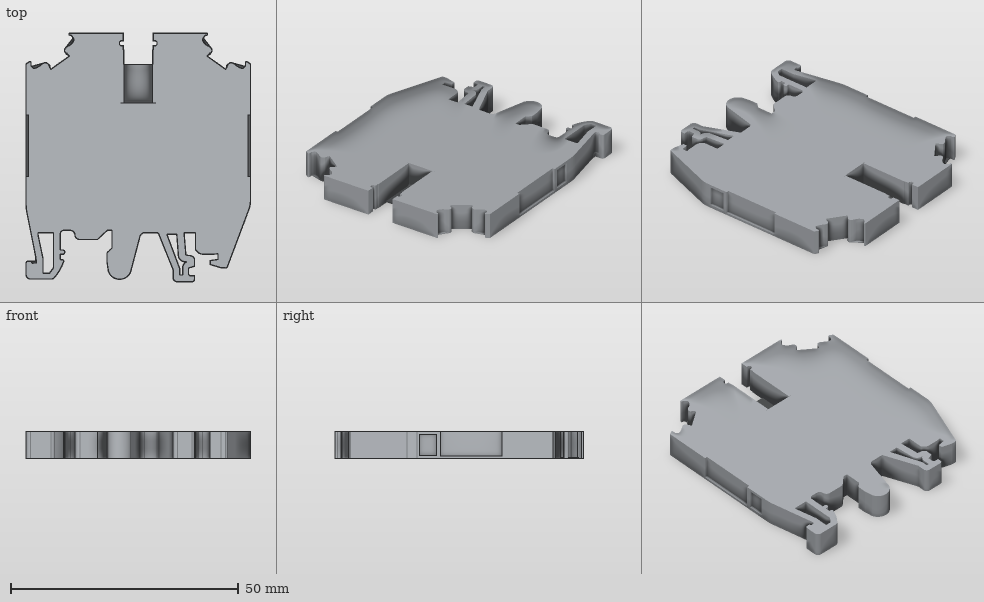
import cadquery as cq


WIDTH = 49.4
HEIGHT = 54.69
THICKNESS = 6.0
HALF_WIDTH = WIDTH / 2
SPLIT_Y = 18.0

MOUTH_HALF_WIDTH = 3.27
SLOT_HALF_WIDTH = 3.15
MOUTH_BOTTOM_Y = 51.0
SLOT_BOTTOM_Y = 39.34
FLOOR_TOP_Y = 47.85
FLOOR_THICKNESS = 0.4
FLOOR_FILLET = 0.45
NOTCH_DEPTH = 0.8
NOTCH_TOP_Y = 53.0
NOTCH_BOTTOM_Y = 51.95
NOTCH_CORNER = 0.25
SLIT_HALF_WIDTH = 3.8
SLIT_HEIGHT = 0.06

MARKER_WEB_THICKNESS = 0.25

RECESS_DEPTH = 0.6
SIDE_RECESS_BOTTOM_Y = 23.2
SIDE_RECESS_TOP_Y = 36.7
SIDE_RECESS_BOTTOM_Z = 0.55
WINDOW_BOTTOM_Y = 18.6
WINDOW_TOP_Y = 22.3
WINDOW_BOTTOM_Z = 0.75
WINDOW_TOP_Z = 5.35

LEFT_BEND_TOP_Y = 17.05
RIGHT_BEND_TOP_Y = 18.0
FOOT_BOTTOM_Y = 0.58
FOOT_TOP_Y = 4.55
FOOT_NECK_X = -22.4
RAIL_SEAT_Y = 10.79
FOOT_WEB_THICKNESS = 1.0
FOOT_WEB_TOP_Y = 5.2


def arc(middle, end):
    """Outline step: an arc through middle to end."""
    return ("arc", middle, end)


def bend(end):
    """Outline step: an arc to end that leaves along the previous step."""
    return ("bend", end)


def prism(start, steps, thickness=THICKNESS):
    """Closed outline of straight (x, y) steps, arcs and bends, extruded up from Z = 0."""
    outline = cq.Workplane("XY").moveTo(*start)
    for step in steps:
        if step[0] == "arc":
            outline = outline.threePointArc(step[1], step[2])
        elif step[0] == "bend":
            outline = outline.tangentArcPoint(step[1], relative=False)
        else:
            outline = outline.lineTo(*step)
    return outline.close().extrude(thickness)


def box(x_range, y_range, z_range):
    """Axis-aligned box between the given limits."""
    size = [limits[1] - limits[0] for limits in (x_range, y_range, z_range)]
    corner = (x_range[0], y_range[0], z_range[0])
    return cq.Workplane("XY").box(*size, centered=False).translate(corner)


def both_sides(shape):
    """The shape together with its mirror image across X = 0."""
    return shape.union(shape.mirror("YZ"))


def head_half():
    """Left half of the head, without the slot."""
    return prism(
        (0, SPLIT_Y),
        [
            (-HALF_WIDTH, SPLIT_Y),
            (-HALF_WIDTH, 47.95),
            (-24.0, 48.4),
            arc((-23.67, 48.42), (-23.56, 48.15)),
            (-23.56, 47.5),
            (-23.05, 46.98),
            (-22.75, 46.95),
            arc((-21.9, 47.35), (-21.1, 47.95)),
            (-20.6, 48.21),
            (-20.15, 48.21),
            (-19.72, 47.8),
            (-19.5, 47.25),
            (-19.2, 46.78),
            (-15.2, 49.65),
            (-15.7, 50.3),
            (-16.0, 50.4),
            arc((-16.24, 50.88), (-16.1, 51.35)),
            (-15.62, 51.75),
            (-15.0, 52.05),
            arc((-14.45, 52.6), (-14.12, 53.35)),
            (-14.55, 53.95),
            (-14.8, 54.2),
            (-15.15, 54.25),
            arc((-15.25, 54.5), (-15.05, HEIGHT)),
            (0, HEIGHT),
        ],
    )


def marker_webs():
    """Thin webs bridging the left marker pockets at the underside."""
    outer_web = [(-23.45, 47.4), (-20.6, 48.21), (-22.3, 47.0), (-23.05, 46.95)]
    inner_web = [(-14.35, 53.6), (-16.1, 51.35), (-15.0, 52.0), (-14.1, 53.3)]
    shoulder_web = [(-19.85, 47.95), (-19.42, 47.6), (-19.42, 47.3), (-19.7, 47.2)]
    nose_web = [(-16.05, 50.4), (-15.8, 50.05), (-15.25, 49.75), (-15.5, 50.4)]
    webs = cq.Workplane("XY")
    for corners in (outer_web, inner_web, shoulder_web, nose_web):
        webs = webs.union(prism(corners[0], corners[1:], MARKER_WEB_THICKNESS))
    return webs


def slot_cutter():
    """Central slot with a wider notched mouth and a thin slit across its closed end."""
    mouth = box(
        (-MOUTH_HALF_WIDTH, MOUTH_HALF_WIDTH), (MOUTH_BOTTOM_Y, HEIGHT), (0, THICKNESS)
    )
    notch_half_width = MOUTH_HALF_WIDTH + NOTCH_DEPTH
    notches = box(
        (-notch_half_width, notch_half_width), (NOTCH_BOTTOM_Y, NOTCH_TOP_Y), (0, THICKNESS)
    )
    notches = notches.edges("|Z").chamfer(NOTCH_CORNER)
    opening = box(
        (-SLOT_HALF_WIDTH, SLOT_HALF_WIDTH), (FLOOR_TOP_Y, MOUTH_BOTTOM_Y), (0, THICKNESS)
    )
    pocket = box(
        (-SLOT_HALF_WIDTH, SLOT_HALF_WIDTH),
        (SLOT_BOTTOM_Y, FLOOR_TOP_Y),
        (FLOOR_THICKNESS, THICKNESS),
    )
    pocket = pocket.edges("<Y and <Z").fillet(FLOOR_FILLET)
    slit = box(
        (-SLIT_HALF_WIDTH, SLIT_HALF_WIDTH),
        (SLOT_BOTTOM_Y - SLIT_HEIGHT / 2, SLOT_BOTTOM_Y + SLIT_HEIGHT / 2),
        (FLOOR_THICKNESS + FLOOR_FILLET, THICKNESS),
    )
    return mouth.union(notches).union(opening).union(pocket).union(slit)


def side_recesses():
    """Cutters for the label recess and the small window on the left side."""
    depth_range = (-HALF_WIDTH, -HALF_WIDTH + RECESS_DEPTH)
    label = box(
        depth_range,
        (SIDE_RECESS_BOTTOM_Y, SIDE_RECESS_TOP_Y),
        (SIDE_RECESS_BOTTOM_Z, THICKNESS),
    )
    window = box(
        depth_range, (WINDOW_BOTTOM_Y, WINDOW_TOP_Y), (WINDOW_BOTTOM_Z, WINDOW_TOP_Z)
    )
    return label.union(window)


def foot():
    """Lower body with the rail clips, the central tongue and the right-hand hook."""
    return prism(
        (-HALF_WIDTH, SPLIT_Y),
        [
            (-HALF_WIDTH, LEFT_BEND_TOP_Y),
            bend((-24.5, 15.13)),
            (FOOT_NECK_X, 4.65),
            (FOOT_NECK_X, 4.2),
            (-22.95, 4.2),
            arc((-23.25, 4.1), (-23.38, FOOT_TOP_Y)),
            (-24.2, FOOT_TOP_Y),
            arc((-24.55, 4.42), (-HALF_WIDTH, 4.07)),
            (-HALF_WIDTH, 1.6),
            arc((-24.4, 0.88), (-23.72, FOOT_BOTTOM_Y)),
            (-19.21, FOOT_BOTTOM_Y),
            arc((-18.8, 0.67), (-18.45, 0.92)),
            arc((-17.2, 2.65), (-16.35, 4.6)),
            (-16.5, 4.85),
            (-17.13, 4.93),
            (-17.13, 6.06),
            (-16.45, 6.06),
            arc((-16.15, 6.55), (-16.45, 7.01)),
            (-17.13, 7.01),
            (-17.13, 10.6),
            arc((-16.9, 11.08), (-16.28, 11.3)),
            (-14.9, 11.3),
            arc((-14.3, 11.05), (-13.95, 10.2)),
            arc((-13.5, 9.5), (-12.77, 9.27)),
            (-9.0, 9.27),
            (-6.83, 11.3),
            (-5.78, 11.3),
            (-5.78, 7.44),
            (-6.89, 6.4),
            (-6.89, 4.35),
            (-6.6, 2.35),
            arc((-4.15, 0.54), (-1.65, 2.2)),
            (0.4, 10.0),
            bend((1.42, RAIL_SEAT_Y)),
            (4.07, RAIL_SEAT_Y),
            arc((4.35, 10.7), (4.52, 10.42)),
            (7.65, 2.66),
            (7.65, 0.96),
            arc((7.93, 0.28), (8.61, 0)),
            (11.83, 0),
            arc((12.23, 0.16), (12.39, 0.56)),
            (12.39, 1.35),
            (11.39, 1.35),
            (11.06, 1.6),
            (11.06, 3.0),
            (12.39, 3.42),
            (12.39, 5.0),
            arc((12.05, 5.5), (11.1, 5.8)),
            (10.5, 5.97),
            (10.1, RAIL_SEAT_Y),
            (12.57, RAIL_SEAT_Y),
            (12.57, 7.03),
            (13.24, 6.41),
            bend((14.12, 6.07)),
            (16.65, 6.07),
            (17.49, 6.15),
            (17.49, 4.96),
            (15.79, 4.69),
            (15.79, 3.79),
            (18.25, 3.08),
            (19.2, 3.04),
            arc((19.48, 3.15), (19.66, 3.4)),
            (24.35, 15.9),
            bend((HALF_WIDTH, RIGHT_BEND_TOP_Y)),
        ],
    )


def leg_openings():
    """Cutters for the through openings inside the left leg and the spring clip."""
    left_opening = prism(
        (-21.95, RAIL_SEAT_Y),
        [
            (-18.65, RAIL_SEAT_Y),
            (-18.65, 3.1),
            (-19.55, 1.9),
            (-20.92, 1.9),
            (-20.92, 5.1),
            (-22.05, 10.5),
        ],
    )
    clip_opening = prism(
        (6.33, 10.42),
        [
            (8.45, 10.42),
            (8.78, 6.1),
            arc((9.25, 4.85), (10.6, 4.4)),
            arc((9.95, 3.8), (9.76, 2.7)),
            (9.76, 1.52),
            (9.17, 1.52),
            (9.17, 2.85),
        ],
    )
    return left_opening.union(clip_opening)


def foot_web():
    """Low web filling the undercut of the release foot at the underside."""
    return prism(
        (-23.38, 4.0),
        [
            (FOOT_NECK_X, 4.0),
            (FOOT_NECK_X, FOOT_WEB_TOP_Y),
            (-22.62, FOOT_WEB_TOP_Y),
            (-22.62, FOOT_TOP_Y),
            (-23.38, FOOT_TOP_Y),
        ],
        FOOT_WEB_THICKNESS,
    )


head = both_sides(head_half().union(marker_webs()))
head = head.cut(slot_cutter()).cut(both_sides(side_recesses()))
lower_body = foot().cut(leg_openings()).union(foot_web())
result = head.union(lower_body)